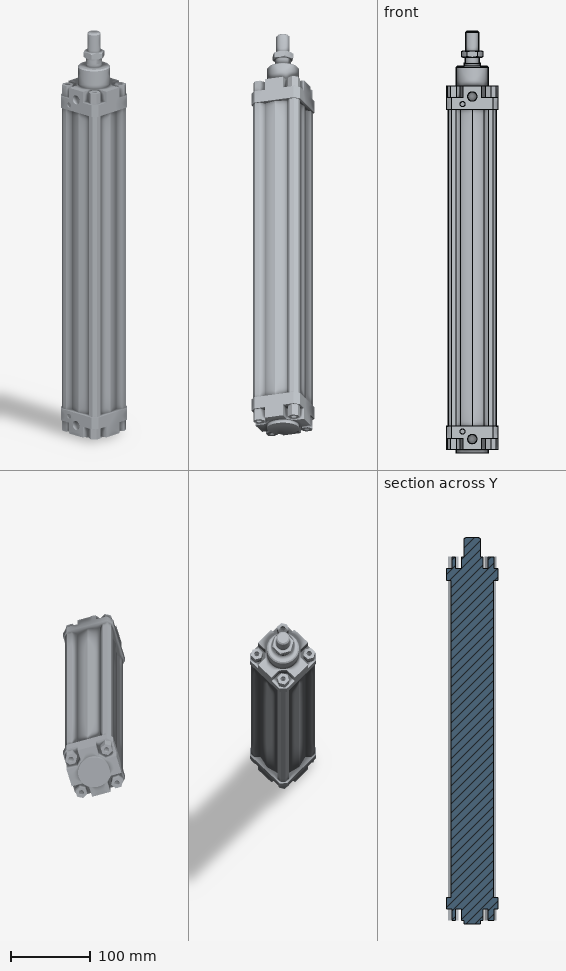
import cadquery as cq
import math

total_length = 529.0
cap_width = 65.0
cap_corner_chamfer = 6.5

spigot_height = 4.0
cap_height = 29.5
front_face_z = 460.0
front_boss_height = 25.0
rear_inner_z = spigot_height + cap_height
front_inner_z = front_face_z - cap_height

boss_diameter = 40.0
boss_chamfer = 1.5

lip_diameter = 20.5
lip_height = 3.0

cross_width = 24.0
pocket_depth = 14.5
pocket_width = (cap_width - cross_width) / 2
pocket_corner_chamfer = 7.0

screw_offset = 23.5
screw_across_flats = 13.0
screw_hole_diameter = 6.5
screw_hole_depth = 5.5
screw_hole_tip_angle = 90

port_diameter = 11.5
port_depth = 10.5
port_from_face = 13.0
bleed_diameter = 6.5
bleed_depth = 1.5
bleed_x = -12.0
bleed_from_face = 23.0

barrel_width = 60.5
barrel_corner_chamfer = 3.95
groove_outer_half = 20.0
groove_inner_half = 15.0
groove_depth = 5.5
ridge_depth = 1.5

rod_diameter = 20.0
rod_flats_width = 18.0
flats_length = 7.0
rod_chamfer = 0.5
thread_diameter = 17.0
thread_length = 33.0
thread_chamfer = 1.85
rod_insertion = lip_height + front_boss_height + cap_height

nut_across_flats = 24.0
nut_height = 8.0
nut_chamfer_angle = 30

boss_top_z = front_face_z + front_boss_height
lip_top_z = boss_top_z + lip_height
thread_base_z = total_length - thread_length
rod_base_z = lip_top_z - rod_insertion


def hexagon_corners(across_flats):
    """Distance between opposite corners of a hexagon."""
    return across_flats / math.cos(math.pi / 6)


def hexagon(across_flats, height):
    """Hexagonal prism on the XY plane with two corners on the X axis."""
    return cq.Workplane("XY").polygon(6, hexagon_corners(across_flats)).extrude(height)


def cylinder(diameter, base_z, height):
    """Cylinder on the Z axis."""
    return cq.Workplane("XY").workplane(offset=base_z).circle(diameter / 2).extrude(height)


def front_hole(diameter, depth, x, z):
    """Cutter for a blind hole in the -Y face of an end cap."""
    return (
        cq.Workplane("XZ", origin=(x, -cap_width / 2, z))
        .circle(diameter / 2)
        .extrude(-depth)
    )


def screw_hole():
    """Cutter for the drilled hole in the head of a screw, with a conical bottom."""
    radius = screw_hole_diameter / 2
    shoulder_z = pocket_depth - screw_hole_depth
    tip_z = shoulder_z - radius / math.tan(math.radians(screw_hole_tip_angle / 2))
    return (
        cq.Workplane("XZ")
        .polyline([(0, tip_z), (radius, shoulder_z), (radius, pocket_depth), (0, pocket_depth)])
        .close()
        .revolve()
    )


def end_cap():
    """End cap with its inner face on Z = 0 and its outer face upwards."""
    cap = (
        cq.Workplane("XY")
        .rect(cap_width, cap_width)
        .extrude(cap_height)
        .edges("|Z")
        .chamfer(cap_corner_chamfer)
    )

    floor_z = cap_height - pocket_depth
    pocket_center = (cap_width - pocket_width) / 2
    pocket = (
        cq.Workplane("XY")
        .rect(pocket_width, pocket_width)
        .extrude(pocket_depth)
        .edges("|Z and >X and >Y")
        .chamfer(pocket_corner_chamfer)
        .translate((-pocket_center, -pocket_center, floor_z))
    )

    screw = hexagon(screw_across_flats, pocket_depth).cut(screw_hole())
    screw = screw.translate((-screw_offset, -screw_offset, floor_z))

    corner_cutter = pocket.cut(screw)
    for quarter in range(4):
        cap = cap.cut(corner_cutter.rotate((0, 0, 0), (0, 0, 1), 90 * quarter))
    return cap


def barrel():
    """Square barrel with a shallow ridged groove along each side."""
    half = barrel_width / 2
    corner = half - barrel_corner_chamfer
    side = [
        (-corner, -half),
        (-groove_outer_half, -half),
        (-groove_inner_half, groove_depth - half),
        (0, ridge_depth - half),
        (groove_inner_half, groove_depth - half),
        (groove_outer_half, -half),
        (corner, -half),
    ]
    outline = []
    for _ in range(4):
        outline += side
        side = [(-y, x) for x, y in side]
    return (
        cq.Workplane("XY")
        .workplane(offset=rear_inner_z)
        .polyline(outline)
        .close()
        .extrude(front_inner_z - rear_inner_z)
    )


def make_housing():
    """Barrel and both end caps, with the rod bore in the front one."""
    front_cap = end_cap().translate((0, 0, front_inner_z))
    rear_cap = end_cap().mirror("XY").translate((0, 0, rear_inner_z))
    boss = cylinder(boss_diameter, front_face_z, front_boss_height)
    boss = boss.faces(">Z").edges().chamfer(boss_chamfer)
    lip = cylinder(lip_diameter, boss_top_z, lip_height)
    spigot = cylinder(boss_diameter, 0, spigot_height)
    body = barrel().union(front_cap).union(rear_cap).union(boss).union(lip).union(spigot)

    for face_z, inward in ((front_face_z, -1), (spigot_height, 1)):
        body = body.cut(front_hole(port_diameter, port_depth, 0, face_z + inward * port_from_face))
        body = body.cut(front_hole(bleed_diameter, bleed_depth, bleed_x, face_z + inward * bleed_from_face))

    return body.cut(cylinder(rod_diameter, rod_base_z, rod_insertion))


def make_piston_rod():
    """Rod with two wrench flats below its threaded end."""
    rod = cylinder(rod_diameter, rod_base_z, thread_base_z - rod_base_z)
    rod = rod.faces(">Z").edges().chamfer(rod_chamfer)
    for side in (-1, 1):
        flat_cutter = (
            cq.Workplane("XY")
            .workplane(offset=thread_base_z - flats_length)
            .center(side * rod_flats_width, 0)
            .rect(rod_flats_width, rod_diameter)
            .extrude(flats_length)
        )
        rod = rod.cut(flat_cutter)
    thread = cylinder(thread_diameter, thread_base_z, thread_length)
    thread = thread.faces(">Z").edges().chamfer(thread_chamfer)
    return rod.union(thread)


def make_lock_nut():
    """Hexagonal nut at the base of the thread, its corners turned down at both ends."""
    nut = hexagon(nut_across_flats, nut_height).translate((0, 0, thread_base_z))
    across_corners = hexagon_corners(nut_across_flats)
    turned_blank = cylinder(across_corners, thread_base_z, nut_height)
    corner_inset = (across_corners - nut_across_flats) / 2
    corner_height = corner_inset * math.tan(math.radians(nut_chamfer_angle))
    turned_blank = turned_blank.faces("<Z or >Z").chamfer(corner_height, corner_inset)
    nut = nut.intersect(turned_blank)
    return nut.cut(cylinder(thread_diameter, thread_base_z, nut_height))


housing = make_housing()
piston_rod = make_piston_rod()
lock_nut = make_lock_nut()

result = cq.Compound.makeCompound([housing.val(), piston_rod.val(), lock_nut.val()])